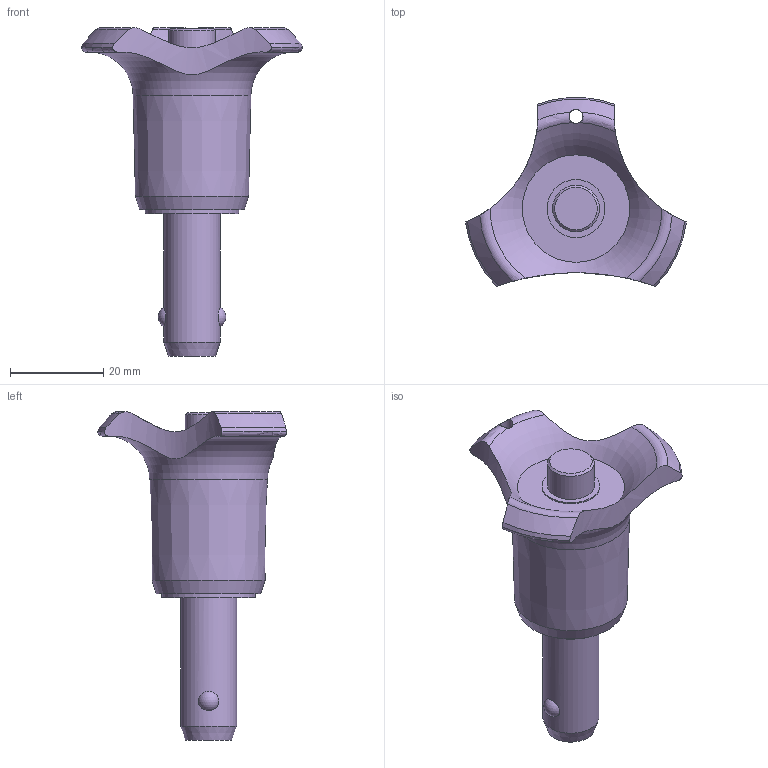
import cadquery as cq
import math


TOTAL_HEIGHT = 70.3
SHANK_LENGTH = 30.5
LOBE_TOP_Z = TOTAL_HEIGHT - SHANK_LENGTH

BODY_TOP_RADIUS = 12.6
BODY_BOTTOM_RADIUS = 12.1
BODY_TOP_Z = 25.2
TAPER_TOP_Z = 3.7
TAPER_BOTTOM_Z = 0.9
TAPER_BOTTOM_RADIUS = 11.2
COLLAR_RADIUS = 10.0

RIM_RADIUS = 23.81
RIM_CONE_RADIUS = 23.45
RIM_CONE_HEIGHT = 3.3
RIM_BAND_HEIGHT = 0.9
RIM_EDGE_RADIUS = 1.0
CROWN_OUTER_RADIUS = 20.65
CROWN_INNER_RADIUS = 18.4
CROWN_RISE = 0.4

DISH_FLOOR_RADIUS = 11.5
DISH_DEPTH = 7.0
DISH_WALL_BULGE = 0.45

SIDE_SCALLOP_RADIUS = 24.6
SIDE_SCALLOP_REACH = 13.75
SIDE_SCALLOP_ANGLE = 31.4
FRONT_SCALLOP_RADIUS = 51.0
FRONT_SCALLOP_REACH = 13.75

LANYARD_HOLE_DIAMETER = 3.0
LANYARD_HOLE_Y = 19.7

BUTTON_RADIUS = 5.0
BUTTON_COLLAR_RADIUS = 6.2
BUTTON_COLLAR_HEIGHT = 0.3
BUTTON_CHAMFER = 0.45
BUTTON_TOP_Z = LOBE_TOP_Z - 0.2

SHANK_RADIUS = 6.0
TIP_RADIUS = 5.0
TIP_LENGTH = 3.0
BALL_RADIUS = 2.3
BALL_SPAN = 14.5
BALL_Z = -22.1


def bulged_midpoint(start, end, bulge):
    """Midpoint of the chord moved by bulge to the left of the direction start -> end."""
    dx = end[0] - start[0]
    dz = end[1] - start[1]
    chord = math.hypot(dx, dz)
    mid_x = (start[0] + end[0]) / 2
    mid_z = (start[1] + end[1]) / 2
    return (mid_x - bulge * dz / chord, mid_z + bulge * dx / chord)


def make_grip():
    """Grip and shank as one turned profile: flared rim, dish, body, collar and tip."""
    floor_z = LOBE_TOP_Z - DISH_DEPTH
    dish_floor = (DISH_FLOOR_RADIUS, floor_z)

    crown_base_z = LOBE_TOP_Z - CROWN_RISE
    crown_inner = (CROWN_INNER_RADIUS, crown_base_z)
    crown_outer = (CROWN_OUTER_RADIUS, crown_base_z)

    cone_end_z = LOBE_TOP_Z - RIM_CONE_HEIGHT
    band_end = (RIM_RADIUS, cone_end_z - RIM_BAND_HEIGHT)
    underside = (RIM_RADIUS - RIM_EDGE_RADIUS, band_end[1] - RIM_EDGE_RADIUS)
    edge_bulge = RIM_EDGE_RADIUS * (1 - math.sqrt(0.5))

    body_top = (BODY_TOP_RADIUS, BODY_TOP_Z)
    flare_dx = underside[0] - body_top[0]
    flare_dz = underside[1] - body_top[1]
    flare_radius = (flare_dx**2 + flare_dz**2) / (2 * flare_dx)
    flare_chord = math.hypot(flare_dx, flare_dz)
    flare_bulge = flare_radius - math.sqrt(flare_radius**2 - (flare_chord / 2) ** 2)

    profile = (
        cq.Workplane("XZ")
        .moveTo(0, floor_z)
        .lineTo(*dish_floor)
        .threePointArc(bulged_midpoint(dish_floor, crown_inner, DISH_WALL_BULGE), crown_inner)
        .threePointArc(bulged_midpoint(crown_inner, crown_outer, CROWN_RISE), crown_outer)
        .lineTo(RIM_CONE_RADIUS, cone_end_z)
        .lineTo(*band_end)
        .threePointArc(bulged_midpoint(band_end, underside, edge_bulge), underside)
        .threePointArc(bulged_midpoint(underside, body_top, -flare_bulge), body_top)
        .lineTo(BODY_BOTTOM_RADIUS, TAPER_TOP_Z)
        .lineTo(TAPER_BOTTOM_RADIUS, TAPER_BOTTOM_Z)
        .lineTo(COLLAR_RADIUS, TAPER_BOTTOM_Z)
        .lineTo(COLLAR_RADIUS, 0)
        .lineTo(SHANK_RADIUS, 0)
        .lineTo(SHANK_RADIUS, TIP_LENGTH - SHANK_LENGTH)
        .lineTo(TIP_RADIUS, -SHANK_LENGTH)
        .lineTo(0, -SHANK_LENGTH)
        .close()
    )
    return profile.revolve(360, (0, 0, 0), (0, 1, 0))


def make_scallop(radius, reach, angle):
    """Upright cylinder whose near side is at distance reach from the pin axis."""
    distance = reach + radius
    direction = math.radians(angle)
    return (
        cq.Workplane("XY")
        .center(distance * math.cos(direction), distance * math.sin(direction))
        .circle(radius)
        .extrude(TOTAL_HEIGHT)
    )


def make_button():
    """Chamfered push button in a low collar on the dish floor."""
    floor_z = LOBE_TOP_Z - DISH_DEPTH
    collar = (
        cq.Workplane("XY", origin=(0, 0, floor_z))
        .circle(BUTTON_COLLAR_RADIUS)
        .extrude(BUTTON_COLLAR_HEIGHT)
    )
    button = (
        cq.Workplane("XY", origin=(0, 0, floor_z))
        .circle(BUTTON_RADIUS)
        .extrude(BUTTON_TOP_Z - floor_z)
        .faces(">Z")
        .chamfer(BUTTON_CHAMFER)
    )
    return collar.union(button)


def make_lanyard_hole():
    """Vertical drill through the rear lobe only."""
    return (
        cq.Workplane("XY", origin=(0, LANYARD_HOLE_Y, BODY_TOP_Z))
        .circle(LANYARD_HOLE_DIAMETER / 2)
        .extrude(LOBE_TOP_Z - BODY_TOP_Z)
    )


result = make_grip()

for side_angle in (SIDE_SCALLOP_ANGLE, 180 - SIDE_SCALLOP_ANGLE):
    result = result.cut(make_scallop(SIDE_SCALLOP_RADIUS, SIDE_SCALLOP_REACH, side_angle))
result = result.cut(make_scallop(FRONT_SCALLOP_RADIUS, FRONT_SCALLOP_REACH, -90))

result = result.cut(make_lanyard_hole())
result = result.union(make_button())

for side in (-1, 1):
    ball_x = side * (BALL_SPAN / 2 - BALL_RADIUS)
    ball = cq.Workplane("XY").sphere(BALL_RADIUS).translate((ball_x, 0, BALL_Z))
    result = result.union(ball)